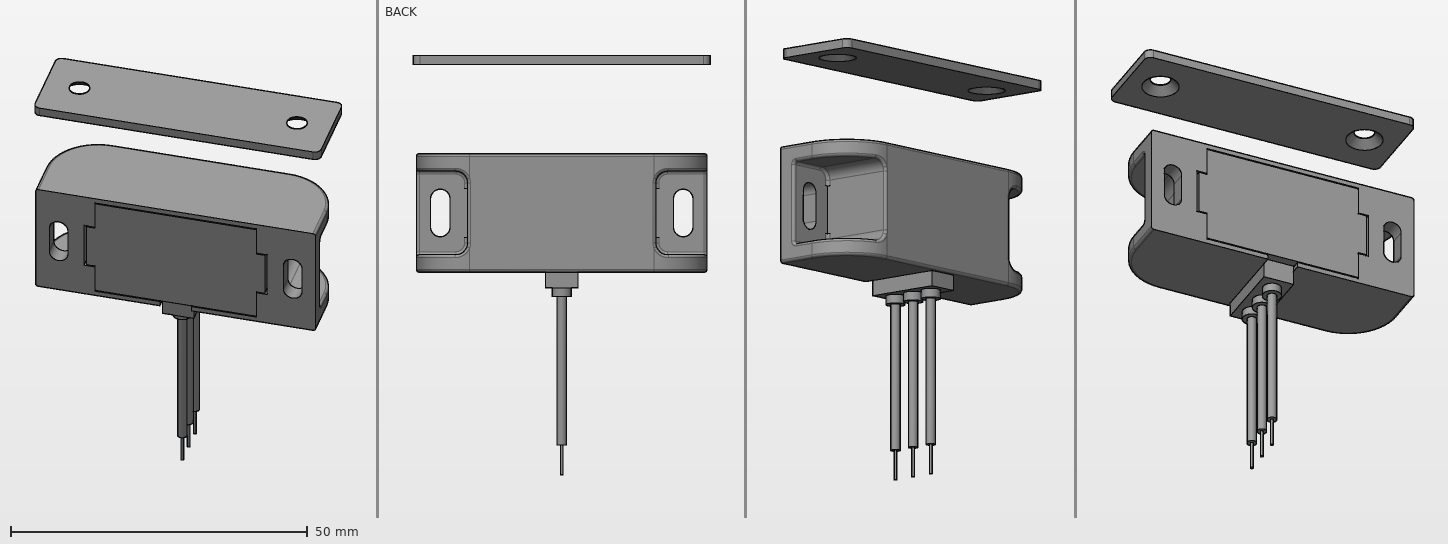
import cadquery as cq

HOUSING_WIDTH = 48.95
HOUSING_DEPTH = 16.0
HOUSING_HEIGHT = 20.0
REAR_CORNER_RADIUS = 9.0
EDGE_FILLET = 0.5
MID_HEIGHT = HOUSING_HEIGHT / 2

FLANGE_THICKNESS = 3.0
LUG_THICKNESS = 3.0
RECESS_DEPTH = 8.6
RECESS_HEIGHT = HOUSING_HEIGHT - 2 * FLANGE_THICKNESS
RECESS_WALL_RADIUS = 2.0
RECESS_CORNER_FILLET = 0.5
ON_SURFACE = 0.001

SLOT_SPACING = 40.9
SLOT_WIDTH = 3.25
SLOT_LENGTH = 8.0

COVER_WIDTH = 28.2
COVER_THICKNESS = 1.55
COVER_GAP = 0.18
COVER_HEIGHT = 17.9
EAR_SPAN = 31.15
EAR_HEIGHT = 7.85
EAR_END_GAP = 0.4
EAR_OPENING_HEIGHT = EAR_HEIGHT + 2 * COVER_GAP

BLOCK_WIDTH = 5.5
BLOCK_DEPTH = 13.3
BLOCK_DROP = 2.6
BLOCK_OVERLAP = 1.0
COVER_BOTTOM = MID_HEIGHT - COVER_HEIGHT / 2
BLOCK_TOP = COVER_BOTTOM + BLOCK_OVERLAP
BLOCK_REAR = COVER_THICKNESS + BLOCK_DEPTH

WIRE_COUNT = 3
WIRE_PITCH = 3.95
COLLAR_DIAMETER = 3.25
COLLAR_LENGTH = 1.5
WIRE_DIAMETER = 1.6
WIRE_LENGTH = 25.0
CORE_DIAMETER = 0.5
CORE_LENGTH = 5.0

PLATE_WIDTH = 50.0
PLATE_DEPTH = 15.0
PLATE_THICKNESS = 1.55
PLATE_CORNER_RADIUS = 1.1
PLATE_HOLE_SPACING = 38.0
PLATE_HOLE_DIAMETER = 3.45
COUNTERSINK_DEPTH = 1.4
TOTAL_HEIGHT = 70.65
PLATE_TOP = TOTAL_HEIGHT - BLOCK_DROP - COLLAR_LENGTH - WIRE_LENGTH - CORE_LENGTH


def box(width, y_front, y_rear, z_bottom, z_top):
    """Box centred on X = 0 between the given Y and Z limits."""
    return (
        cq.Workplane("XY")
        .box(width, y_rear - y_front, z_top - z_bottom, centered=(True, False, False))
        .translate((0, y_front, z_bottom))
    )


def cross_slab(main_width, main_height, ear_span, ear_height):
    """Cross-shaped slab of the cover thickness: a main panel with an ear on each side."""
    main = box(main_width, 0, COVER_THICKNESS, MID_HEIGHT - main_height / 2, MID_HEIGHT + main_height / 2)
    ears = box(ear_span, 0, COVER_THICKNESS, MID_HEIGHT - ear_height / 2, MID_HEIGHT + ear_height / 2)
    return main.union(ears)


def housing_blank():
    """D-shaped block with rounded top and bottom rims, sharp along the front."""
    blank = box(HOUSING_WIDTH, 0, HOUSING_DEPTH, 0, HOUSING_HEIGHT)
    blank = blank.edges("|Z and >Y").fillet(REAR_CORNER_RADIUS)
    return blank.faces("<Z or >Z").edges("not <Y").fillet(EDGE_FILLET)


def side_recess(side):
    """Cutter for the recess on one side (-1 or +1), with a rounded inner wall and front corner."""
    cutter = (
        cq.Workplane("XY")
        .box(2 * RECESS_DEPTH, HOUSING_DEPTH, RECESS_HEIGHT)
        .edges("|Y" + (" and >X" if side < 0 else " and <X"))
        .fillet(RECESS_WALL_RADIUS)
        .faces("<Y")
        .edges(">X" if side < 0 else "<X")
        .fillet(RECESS_CORNER_FILLET)
    )
    return cutter.translate((side * HOUSING_WIDTH / 2, LUG_THICKNESS + HOUSING_DEPTH / 2, MID_HEIGHT))


def square_corner(side):
    """Cutter that squares the front corner of one recess over the height of the cover ears."""
    return (
        cq.Workplane("XY")
        .box(2 * RECESS_CORNER_FILLET, RECESS_CORNER_FILLET, EAR_OPENING_HEIGHT, centered=(True, False, True))
        .translate((side * (HOUSING_WIDTH / 2 - RECESS_DEPTH + RECESS_CORNER_FILLET), LUG_THICKNESS, MID_HEIGHT))
    )


def mounting_slots():
    """Cutter for the upright slots through both lugs."""
    return (
        cq.Workplane("XZ")
        .pushPoints([(-SLOT_SPACING / 2, MID_HEIGHT), (SLOT_SPACING / 2, MID_HEIGHT)])
        .slot2D(SLOT_LENGTH, SLOT_WIDTH, 90)
        .extrude(-HOUSING_DEPTH)
    )


def cable_block():
    """Block that carries the wires, from behind the cover down through the housing bottom."""
    return box(BLOCK_WIDTH, COVER_THICKNESS, BLOCK_REAR, -BLOCK_DROP, BLOCK_TOP)


def insert_seat():
    """Cutter for the cover opening and the slot of the cable block, which is open to the front."""
    opening = cross_slab(
        COVER_WIDTH,
        COVER_HEIGHT + 2 * COVER_GAP,
        EAR_SPAN + 2 * EAR_END_GAP,
        EAR_OPENING_HEIGHT,
    )
    front_notch = box(BLOCK_WIDTH, 0, COVER_THICKNESS, 0, COVER_BOTTOM)
    return opening.union(front_notch).union(cable_block())


def lies_on(edge, shell):
    """True if the start, the middle and the end of the edge are on the shell."""
    points = [edge.positionAt(fraction) for fraction in (0, 0.5, 1)]
    return all(shell.distance(cq.Vertex.makeVertex(*point.toTuple())) < ON_SURFACE for point in points)


def recess_mouths(housing, blank):
    """Edges where the recesses break through the sides and the rear of the blank."""
    blank_shell = blank.val().Shells()[0]
    between_flanges = cq.selectors.BoxSelector(
        (-HOUSING_WIDTH, 0, FLANGE_THICKNESS - EDGE_FILLET),
        (HOUSING_WIDTH, 2 * HOUSING_DEPTH, HOUSING_HEIGHT - FLANGE_THICKNESS + EDGE_FILLET),
        boundingbox=True,
    )
    return housing.edges(between_flanges).filter(lambda edge: lies_on(edge, blank_shell))


def make_housing():
    """Housing with its side recesses, mounting slots and the seat of the insert."""
    blank = housing_blank()
    housing = blank
    for side in (-1, 1):
        housing = housing.cut(side_recess(side))
    housing = housing.newObject(recess_mouths(housing, blank).vals()).fillet(EDGE_FILLET)
    for side in (-1, 1):
        housing = housing.cut(square_corner(side))
    return housing.cut(mounting_slots()).cut(insert_seat())


def wire(wire_y):
    """Stepped wire hanging from the block: collar, insulation and bare core."""
    steps = [
        (COLLAR_DIAMETER, COLLAR_LENGTH),
        (WIRE_DIAMETER, WIRE_LENGTH),
        (CORE_DIAMETER, CORE_LENGTH),
    ]
    stepped_wire = cq.Workplane("XY")
    step_top = -BLOCK_DROP
    for diameter, length in steps:
        step = cq.Workplane("XY", origin=(0, wire_y, step_top)).circle(diameter / 2).extrude(-length)
        stepped_wire = stepped_wire.add(step)
        step_top -= length
    return stepped_wire.combine()


def make_insert():
    """Cover, cable block and wires as one solid."""
    insert = cross_slab(COVER_WIDTH, COVER_HEIGHT, EAR_SPAN, EAR_HEIGHT)
    insert = insert.union(cable_block())
    block_middle = (COVER_THICKNESS + BLOCK_REAR) / 2
    for index in range(WIRE_COUNT):
        wire_y = block_middle + (index - (WIRE_COUNT - 1) / 2) * WIRE_PITCH
        insert = insert.union(wire(wire_y))
    return insert


def make_plate():
    """Flat plate with rounded corners and two holes countersunk from below."""
    inside_outline = cq.selectors.BoxSelector(
        (-PLATE_WIDTH / 2 + PLATE_HOLE_DIAMETER, PLATE_HOLE_DIAMETER, 0),
        (PLATE_WIDTH / 2 - PLATE_HOLE_DIAMETER, HOUSING_DEPTH - PLATE_HOLE_DIAMETER, TOTAL_HEIGHT),
    )
    return (
        cq.Workplane("XY", origin=(0, HOUSING_DEPTH / 2, PLATE_TOP))
        .rect(PLATE_WIDTH, PLATE_DEPTH)
        .extrude(-PLATE_THICKNESS)
        .edges("|Z")
        .fillet(PLATE_CORNER_RADIUS)
        .faces(">Z")
        .workplane()
        .pushPoints([(-PLATE_HOLE_SPACING / 2, 0), (PLATE_HOLE_SPACING / 2, 0)])
        .hole(PLATE_HOLE_DIAMETER)
        .faces("<Z")
        .edges("%CIRCLE")
        .edges(inside_outline)
        .chamfer(COUNTERSINK_DEPTH)
    )


plate = make_plate()
housing = make_housing()
insert = make_insert()
result = cq.Compound.makeCompound([plate.val(), housing.val(), insert.val()])